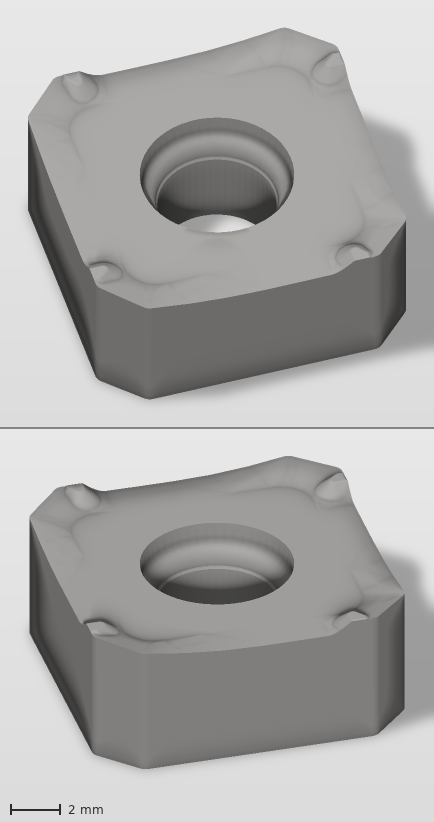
import cadquery as cq
import math


SIDES = 4
HALF_WIDTH = 6.5
TOTAL_HEIGHT = 5.6

CHAMFER_LEG = 1.66
EDGE_RADIUS = 0.5

PLATEAU_HEIGHT = 5.03
PLATEAU_HALF_WIDTH = 5.0
PLATEAU_CORNER_RADIUS = 1.35

LOW_CORNER_HEIGHT = 5.45
HIGH_CORNER_HEIGHT = 5.56
RISE_START = 2.7
RISE_END = 3.36
RISE_END_HEIGHT = 5.25

KNOB_INNER_SIDE = 3.8
KNOB_OUTER_SIDE = 4.48
KNOB_OUTER_INSET = 0.28
KNOB_TIP_START_INSET = 0.52
KNOB_TIP_END = (4.2, 0.62)
KNOB_OVERHANG = 1.0
KNOB_FLANK_ANGLE = 52.0
KNOB_DEPTH = 0.62
KNOB_BEVEL_DROP = 0.03
KNOB_BEVEL_ANGLE = 66.0

BORE_RADIUS = 4.8 / 2
MOUTH_RADIUS = 3.1
COVE_TOP = (3.02, 0.62)
COVE_END = (2.87, 0.87)
THROAT_TOP = (2.47, 1.62)
THROAT_DEPTH = 1.74
SEAT_RADIUS = 0.9

RIM_OVERSIZE = 0.03
RIM_HALF_WIDTH = HALF_WIDTH + RIM_OVERSIZE
SAMPLES_PER_EDGE = 8
FOOT_REACH = 3 * HALF_WIDTH

WALL_END = HALF_WIDTH - CHAMFER_LEG - EDGE_RADIUS * math.tan(math.pi / 8)
PLATEAU_STRAIGHT_END = PLATEAU_HALF_WIDTH - PLATEAU_CORNER_RADIUS


def point_on_arc(center, radius, degrees, z):
    """Point at a given angle on a horizontal circle."""
    angle = math.radians(degrees)
    return cq.Vector(center[0] + radius * math.cos(angle), center[1] + radius * math.sin(angle), z)


def flat_arc(center, radius, start, end, z):
    """Horizontal circular arc between two angles in degrees."""
    angles = (start, (start + end) / 2, end)
    return cq.Edge.makeThreePointArc(*[point_on_arc(center, radius, angle, z) for angle in angles])


def quarter_turn(shape, count=1):
    return shape.rotate(cq.Vector(0, 0, 0), cq.Vector(0, 0, 1), count * 360 / SIDES)


def all_sides(shapes):
    """Copies of the shapes at each of the four sides."""
    return [quarter_turn(shape, i) for i in range(SIDES) for shape in shapes]


def rim_edges():
    """Outer rim from the middle of the -Y wall, past a corner, to the middle of the +X wall."""
    def at(x, z):
        return cq.Vector(x, -RIM_HALF_WIDTH, z)

    level = cq.Vector(1, 0, 0)
    middle = at(0, PLATEAU_HEIGHT)
    rise_start = at(RISE_START, PLATEAU_HEIGHT)
    rise_end = at(RISE_END, RISE_END_HEIGHT)
    radius_center = (WALL_END, EDGE_RADIUS - HALF_WIDTH)
    next_radius_center = (HALF_WIDTH - EDGE_RADIUS, -WALL_END)
    radius = EDGE_RADIUS + RIM_OVERSIZE
    first_radius = flat_arc(radius_center, radius, -90, -45, HIGH_CORNER_HEIGHT)
    next_radius = flat_arc(next_radius_center, radius, -45, 0, LOW_CORNER_HEIGHT)
    fall = cq.Edge.makeTangentArc(middle, -level, at(-WALL_END, LOW_CORNER_HEIGHT))
    return [
        cq.Edge.makeLine(middle, rise_start),
        cq.Edge.makeTangentArc(rise_start, level, rise_end),
        cq.Edge.makeLine(rise_end, first_radius.startPoint()),
        first_radius,
        cq.Edge.makeLine(first_radius.endPoint(), next_radius.startPoint()),
        next_radius,
        quarter_turn(fall),
    ]


def plateau_edges():
    """Plateau outline, split so that each edge faces its counterpart on the rim."""
    def at(x):
        return cq.Vector(x, -PLATEAU_HALF_WIDTH, PLATEAU_HEIGHT)

    stops = (0, RISE_START, RISE_END, PLATEAU_STRAIGHT_END)
    straights = [cq.Edge.makeLine(at(a), at(b)) for a, b in zip(stops, stops[1:])]
    center = (PLATEAU_STRAIGHT_END, -PLATEAU_STRAIGHT_END)
    angles = (-90, -60, -30, 0)
    corners = [
        flat_arc(center, PLATEAU_CORNER_RADIUS, start, end, PLATEAU_HEIGHT)
        for start, end in zip(angles, angles[1:])
    ]
    last_straight = cq.Edge.makeLine(at(0), at(-PLATEAU_STRAIGHT_END))
    return [*straights, *corners, quarter_turn(last_straight)]


def spline_knots(edge_pairs):
    """Shared spline parameters, spaced by the lengths of the paired edges."""
    knots = [0]
    for first, second in edge_pairs:
        step = (first.Length() + second.Length()) / SAMPLES_PER_EDGE
        knots += [knots[-1] + step * (i + 1) for i in range(SAMPLES_PER_EDGE)]
    return knots


def smooth_edge(edges, knots):
    """One spline through evenly spaced points of consecutive edges, the last one run backwards."""
    steps = [i / SAMPLES_PER_EDGE for i in range(SAMPLES_PER_EDGE)]
    points = [edge.positionAt(step) for edge in edges[:-1] for step in steps]
    points += [edges[-1].positionAt(1 - step) for step in [*steps, 1]]
    return cq.Edge.makeSpline(points, parameters=knots)


def make_block():
    """Oversized block with the sculpted top: flat plateau and sloping rim."""
    rim_parts = rim_edges()
    plateau_parts = plateau_edges()
    knots = spline_knots(list(zip(rim_parts, plateau_parts)))
    rim = smooth_edge(rim_parts, knots)
    plateau = smooth_edge(plateau_parts, knots)
    foot = cq.Edge.makeLine(cq.Vector(0, -FOOT_REACH, 0), cq.Vector(FOOT_REACH, 0, 0))
    sides = [cq.Face.makeRuledSurface(plateau, rim), cq.Face.makeRuledSurface(rim, foot)]
    ends = [cq.Face.makeFromWires(cq.Wire.assembleEdges(all_sides([edge]))) for edge in (plateau, foot)]
    shell = cq.Shell.makeShell(all_sides(sides) + ends)
    return cq.Workplane(obj=cq.Solid.makeSolid(shell).fix())


def make_envelope():
    """Upright prism with the insert's outline, used to trim the block and the knobs."""
    return (
        cq.Workplane()
        .rect(2 * HALF_WIDTH, 2 * HALF_WIDTH)
        .extrude(TOTAL_HEIGHT)
        .edges("|Z")
        .chamfer(CHAMFER_LEG)
        .edges("|Z")
        .fillet(EDGE_RADIUS)
    )


def knob_outline(overhang):
    """Knob outline just below its flat top, reaching past the wall by the given overhang."""
    def place(x, inset):
        return (x, inset - HALF_WIDTH)

    return (
        cq.Workplane("XY", origin=(0, 0, TOTAL_HEIGHT - KNOB_BEVEL_DROP))
        .moveTo(*place(KNOB_INNER_SIDE, -overhang))
        .lineTo(*place(KNOB_INNER_SIDE, KNOB_TIP_START_INSET))
        .tangentArcPoint(place(*KNOB_TIP_END), relative=False)
        .lineTo(*place(KNOB_OUTER_SIDE, KNOB_OUTER_INSET))
        .lineTo(*place(KNOB_OUTER_SIDE, -overhang))
        .close()
    )


def make_knob():
    """Knob beside the high corner of the -Y wall: sloping flanks under a bevelled flat top."""
    flanks = knob_outline(KNOB_OVERHANG).extrude(-KNOB_DEPTH, taper=-KNOB_FLANK_ANGLE)
    flat_top = knob_outline(0).extrude(KNOB_BEVEL_DROP, taper=KNOB_BEVEL_ANGLE)
    return flanks.union(flat_top)


def make_screw_hole():
    """Through bore with a curved screw seat opening at the plateau."""
    def seat_point(radius, depth):
        return (radius, PLATEAU_HEIGHT - depth)

    return (
        cq.Workplane("XZ")
        .lineTo(BORE_RADIUS, 0)
        .lineTo(*seat_point(BORE_RADIUS, THROAT_DEPTH))
        .lineTo(*seat_point(*THROAT_TOP))
        .radiusArc(seat_point(*COVE_END), SEAT_RADIUS)
        .tangentArcPoint(seat_point(*COVE_TOP), relative=False)
        .lineTo(*seat_point(MOUTH_RADIUS, 0))
        .lineTo(0, PLATEAU_HEIGHT)
        .close()
        .revolve(360, (0, 0), (0, 1))
    )


result = make_block()
for knob in all_sides([make_knob().val()]):
    result = result.union(cq.Workplane(obj=knob), clean=False)
result = result.intersect(make_envelope(), clean=False)
result = result.cut(make_screw_hole(), clean=False)